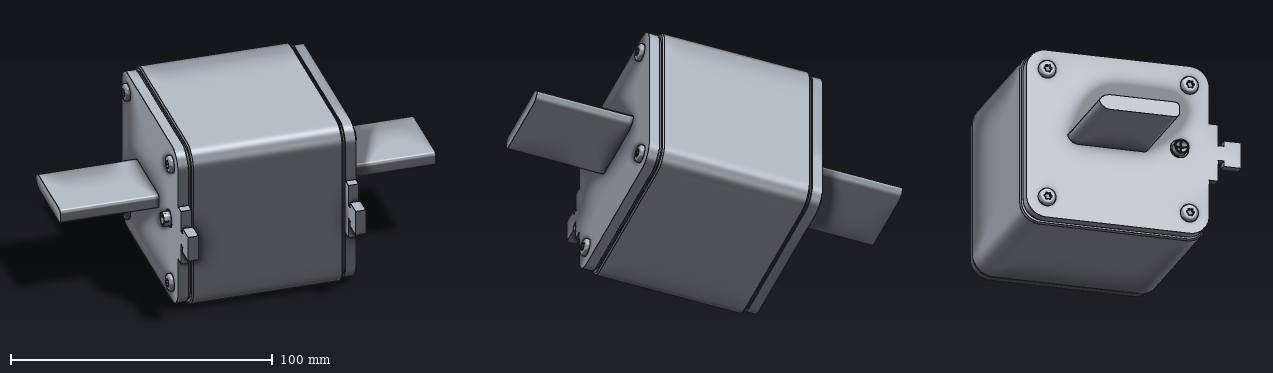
import cadquery as cq


body_width = 75.0
body_height = 70.0
body_length = 60.6
body_corner_radius = 8.1
body_edge_chamfer = 0.6

plate_inset = 0.9
plate_corner_radius = 7.8
plate_thickness = 4.2
plate_outer_y = 35.5
plate_inner_y = plate_outer_y - plate_thickness
gasket_inset = 1.8
gasket_corner_radius = plate_corner_radius - (gasket_inset - plate_inset)

lug_shoulder_x = 40.2
lug_neck_x = 42.5
lug_tip_x = 49.5
lug_shoulder_half = 11.5
lug_neck_half = 3.0
lug_head_half = 5.2

total_length = 150.0
blade_length = total_length / 2 - plate_outer_y
blade_nose_x = -20.1
blade_flat_x = -15.9
blade_back_x = 12.2
blade_half = 3.0
blade_back_radius = 1.8
nose_z = 0.3
upper_nose_facets = [(-18.9, 1.8), (-17.7, 2.5)]
lower_nose_mid = (-18.8, -1.8)

screw_x = 28.5
screw_z = 26.1
screw_radius = 3.5
screw_height = 1.8
screw_rounding = 1.0
socket_core_radius = 1.2
socket_lobe_radius = 0.38
socket_lobes = 6
socket_depth = 1.4

pin_x = 24.8
pin_radius = 2.8
pin_height = 2.7
pin_bowl_radius = 2.4
pin_bowl_depth = 1.5
pin_cross_width = 0.5
pin_cross_length = 2 * pin_bowl_radius
pin_cross_depth = 1.8
recess_radius = 3.6
recess_depth = 0.6


def front_plane(y):
    """XZ plane at the given Y whose extrusions run towards -Y."""
    return cq.Workplane("XZ", origin=(0, y, 0))


def rounded_block(inset, corner_radius, y_start, length):
    """Round-cornered body section shrunk by inset, extruded from y_start towards -Y."""
    return (
        front_plane(y_start)
        .rect(body_width - 2 * inset, body_height - 2 * inset)
        .extrude(length)
        .edges("|Y")
        .fillet(corner_radius)
    )


def make_body():
    block = rounded_block(0, body_corner_radius, body_length / 2, body_length)
    return block.faces("<Y or >Y").edges().chamfer(body_edge_chamfer)


def make_lug():
    upper = [
        (0, lug_shoulder_half),
        (lug_shoulder_x, lug_shoulder_half),
        (lug_shoulder_x, lug_neck_half),
        (lug_neck_x, lug_neck_half),
        (lug_neck_x, lug_head_half),
        (lug_tip_x, lug_head_half),
    ]
    lower = [(x, -z) for x, z in reversed(upper)]
    return front_plane(-plate_inner_y).polyline(upper + lower).close().extrude(plate_thickness)


def make_blade():
    """Flat bar with a faceted upper nose, an arched lower nose and a rounded back edge."""
    bar = (
        front_plane(-plate_outer_y)
        .moveTo(blade_nose_x, nose_z)
        .threePointArc(lower_nose_mid, (blade_flat_x, -blade_half))
        .lineTo(blade_back_x, -blade_half)
        .lineTo(blade_back_x, blade_half)
        .lineTo(blade_flat_x, blade_half)
    )
    for point in reversed(upper_nose_facets):
        bar = bar.lineTo(*point)
    bar = bar.close().extrude(blade_length)
    return bar.edges("|Y and >X").fillet(blade_back_radius)


def make_screw_head():
    """Rounded screw head with a six-lobed socket."""
    head = front_plane(-plate_outer_y).circle(screw_radius).extrude(screw_height)
    head = head.faces("<Y").edges().fillet(screw_rounding)
    socket_plane = front_plane(-plate_outer_y - screw_height)
    socket = socket_plane.circle(socket_core_radius).extrude(-socket_depth)
    lobes = (
        socket_plane
        .polarArray(socket_core_radius, 0, 360, socket_lobes)
        .circle(socket_lobe_radius)
        .extrude(-socket_depth)
    )
    return head.cut(socket).cut(lobes)


def make_end():
    """Everything at the -Y end that is repeated at the +Y end."""
    gasket_start = -body_length / 2
    gasket_length = plate_inner_y - body_length / 2
    gasket = rounded_block(gasket_inset, gasket_corner_radius, gasket_start, gasket_length)
    plate = rounded_block(plate_inset, plate_corner_radius, -plate_inner_y, plate_thickness)
    end = plate.union(gasket).union(make_lug()).union(make_blade())
    head = make_screw_head()
    for x in (-screw_x, screw_x):
        for z in (-screw_z, screw_z):
            end = end.union(head.translate((x, 0, z)))
    return end


def make_pin():
    """Pin with a spherical dish and a cross recess in its end."""
    end_y = -plate_outer_y - pin_height
    pin = (
        front_plane(-plate_outer_y + recess_depth)
        .circle(pin_radius)
        .extrude(pin_height + recess_depth)
    )
    sphere_radius = (pin_bowl_radius**2 + pin_bowl_depth**2) / (2 * pin_bowl_depth)
    sphere_y = end_y + pin_bowl_depth - sphere_radius
    pin = pin.cut(cq.Workplane("XY").sphere(sphere_radius).translate((0, sphere_y, 0)))
    for angle in (0, 90):
        slot = front_plane(end_y).transformed(rotate=(0, 0, angle))
        pin = pin.cut(slot.rect(pin_cross_length, pin_cross_width).extrude(-pin_cross_depth))
    return pin.translate((pin_x, 0, 0))


front_end = make_end()
back_end = front_end.mirror("XZ")
recess = front_plane(-plate_outer_y).center(pin_x, 0).circle(recess_radius).extrude(-recess_depth)
front_end = front_end.cut(recess).union(make_pin())

result = make_body().union(front_end).union(back_end)